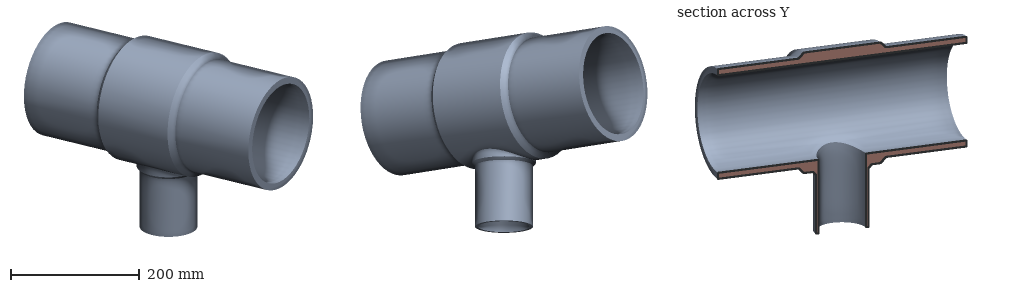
import cadquery as cq

pipe_length = 420.0
pipe_diameter = 180.0
pipe_bore = 158.8

sleeve_diameter = 198.0
sleeve_length = 147.0
sleeve_chamfer = (sleeve_diameter - pipe_diameter) / 2

overall_height = 299.0
branch_diameter = 90.0
branch_bore = 79.5
branch_end = overall_height - sleeve_diameter / 2

collar_diameter = 99.0
collar_end = 103.7
collar_chamfer = (collar_diameter - branch_diameter) / 2


def down_branch(diameter, length):
    """Cylinder from the pipe axis straight down."""
    return cq.Workplane("XY").circle(diameter / 2).extrude(-length)


def pipe_with_sleeve():
    """Solid of revolution about X: the pipe with its bevelled sleeve."""
    pipe_radius = pipe_diameter / 2
    sleeve_radius = sleeve_diameter / 2
    pipe_end = pipe_length / 2
    sleeve_end = sleeve_length / 2
    bevel_start = sleeve_end - sleeve_chamfer
    profile = [
        (-pipe_end, 0),
        (-pipe_end, pipe_radius),
        (-sleeve_end, pipe_radius),
        (-bevel_start, sleeve_radius),
        (bevel_start, sleeve_radius),
        (sleeve_end, pipe_radius),
        (pipe_end, pipe_radius),
        (pipe_end, 0),
    ]
    return cq.Workplane("XZ").polyline(profile).close().revolve(360, (0, 0), (1, 0))


def main_bore():
    """Cylinder on the X axis that opens both pipe ends."""
    start = cq.Workplane("YZ").workplane(offset=-pipe_length / 2)
    return start.circle(pipe_bore / 2).extrude(pipe_length)


branch = down_branch(branch_diameter, branch_end)
collar = down_branch(collar_diameter, collar_end).faces("<Z").edges().chamfer(collar_chamfer)
body = pipe_with_sleeve().union(collar).union(branch)

result = body.cut(main_bore()).cut(down_branch(branch_bore, branch_end))